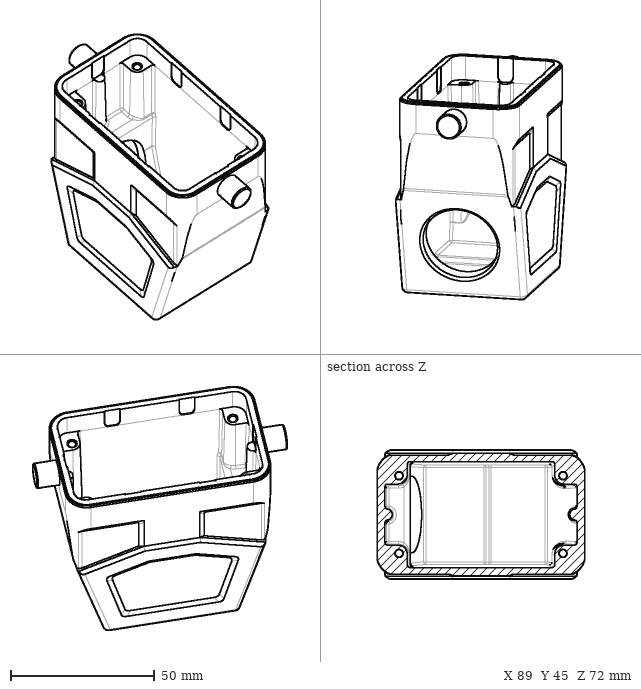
import cadquery as cq
import math

LENGTH = 89.0
WIDTH = 45.0
HEIGHT = 72.0

COLLAR_LENGTH = 72.9
COLLAR_WIDTH = 42.9
COLLAR_CORNER = 7.6
COLLAR_BASE = 26.7
RIM_BEVEL = 0.45
RIM_LIP_HEIGHT = 0.4
RIM_LIP_INSET = 0.7
RIM_WALL = 2.9
MOUTH_CORNER = 4.1
POST_TOP = 63.4

TAPER_TOP = 60.9
BEND_HEIGHT = 40.05
BEND_HALF = 34.6
END_ANGLE = 15.0
END_SLOPE = math.tan(math.radians(END_ANGLE))
BASE_HALF = BEND_HALF - BEND_HEIGHT * END_SLOPE
BEND_ROUNDING = 4.45

RIDGE_HEIGHT = 44.5
RIDGE_HALF = 10.1
RIDGE_ANGLE = 20.0
RIDGE_SLOPE = math.tan(math.radians(RIDGE_ANGLE))
RIDGE_DROP = 1.4
HOOD_ROUNDING = 2.05

RECESS_DEPTH = 0.9
RECESS_ANGLE = 64.0
RECESS_EDGE_ROUNDING = 2.2
COLLAR_RECESS_TOP = 59.1
COLLAR_RECESS_START = 9.8
COLLAR_RECESS_CORNER = 1.8
PANEL_TOP = 37.0
PANEL_BOTTOM = 7.7
PANEL_TOP_HALF = 8.4
PANEL_BOTTOM_HALF = 17.9
PANEL_SIDE_HALF = 23.8
PANEL_SIDE_HEIGHT = 31.4
PANEL_CORNER = 4.45

PIN_DIAMETER = 8.8
PIN_HEIGHT = 65.95
PIN_CHAMFER = 0.45

ENTRY_DIAMETER = 26.8
ENTRY_CHAMFER = 1.0
ENTRY_HEIGHT = 19.9
ENTRY_LENGTH = 13.35

DRAFT = 1.2
LEFT_FLOOR = 5.3
RIGHT_FLOOR = 7.6
STEP_START = 1.4
STEP_END = 3.0
LEDGE_HEIGHT = BEND_HEIGHT
LEDGE_HALF = 24.65
LEDGE_ROUNDING = 2.2
ENTRY_WALL = 5.4
FAR_WALL = 3.0
CAVITY_ROUNDING = 0.9

POST_INNER_X = 25.7
POST_INNER_Y = 10.7
POST_ROUNDING = 3.1
SCREW_X = 28.6
SCREW_Y = 13.5
SCREW_DIAMETER = 2.7
SCREW_MOUTH = 3.5
SCREW_DEPTH = 10.7
RIB_RADIUS = 1.9
RIB_X = 32.8
RIB_FILLET = 0.9
RIB_REACH = 3.6
SLOT_WIDTH = 5.5
SLOT_DEPTH = 0.3
SLOT_BOTTOM = 62.8
SLOT_X = 13.3

MOUTH_LENGTH = COLLAR_LENGTH - 2 * RIM_WALL
MOUTH_WIDTH = COLLAR_WIDTH - 2 * RIM_WALL


def mirrored(points):
    """Close a right-hand outline with its mirror image across X = 0."""
    return points + [(-x, z) for x, z in reversed(points)]


def end_face(z):
    """Half length of the part at height z below the bend."""
    return BASE_HALF + z * END_SLOPE


def extrude_across(points, width):
    """Extrude an XZ outline symmetrically about Y = 0."""
    return cq.Workplane("XZ").polyline(points).close().extrude(width / 2, both=True)


def all_corners(x, y):
    """The point (x, y) and its mirror images."""
    return [(x, y), (-x, y), (x, -y), (-x, -y)]


def column(x, y):
    """Select what has its centre in a narrow column around (x, y)."""
    return cq.selectors.BoxSelector((x - 0.9, y - 0.9, -HEIGHT), (x + 0.9, y + 0.9, HEIGHT))


def zone(low, high):
    """Select what has its centre inside a height range."""
    return cq.selectors.BoxSelector((-LENGTH, -LENGTH, low), (LENGTH, LENGTH, high))


def make_rounded_block(inset, bottom, top):
    """Collar outline shrunk by inset and filled from bottom to top."""
    block = cq.Workplane("XY", origin=(0, 0, bottom))
    block = block.rect(COLLAR_LENGTH - 2 * inset, COLLAR_WIDTH - 2 * inset).extrude(top - bottom)
    return block.edges("|Z").fillet(COLLAR_CORNER - inset)


def make_collar():
    """Rounded collar with a lipped rim, tapered ends and a recess in each quarter."""
    collar = (
        make_rounded_block(0, COLLAR_BASE, HEIGHT - RIM_LIP_HEIGHT)
        .faces(">Z")
        .edges()
        .chamfer(RIM_BEVEL)
        .union(make_rounded_block(RIM_LIP_INSET, COLLAR_BASE, HEIGHT))
    )
    half = COLLAR_LENGTH / 2
    envelope = extrude_across(
        mirrored([(BASE_HALF, 0), (BEND_HALF, BEND_HEIGHT), (half, TAPER_TOP), (half, HEIGHT)]),
        WIDTH,
    )
    bend = zone(BEND_HEIGHT - 0.9, BEND_HEIGHT + 0.9)
    envelope = envelope.edges("|Y").edges(bend).fillet(BEND_ROUNDING)
    collar = collar.intersect(envelope)
    collar = cut_on_all_sides(collar, make_collar_recess())
    corner_y = COLLAR_WIDTH / 2 - RECESS_DEPTH
    corner_x = half - COLLAR_CORNER
    corner_x += math.sqrt(COLLAR_CORNER**2 - (COLLAR_CORNER - RECESS_DEPTH) ** 2)
    for x, y in all_corners(corner_x, corner_y):
        collar = collar.edges("|Z").edges(column(x, y)).fillet(RECESS_EDGE_ROUNDING)
    return collar


def make_collar_recess():
    """Right-hand front recess with sloped walls, open towards the end face."""
    recess = (
        cq.Workplane("XZ", origin=(0, -COLLAR_WIDTH / 2, 0))
        .moveTo(COLLAR_RECESS_START, 0)
        .lineTo(LENGTH, 0)
        .lineTo(LENGTH, COLLAR_RECESS_TOP)
        .lineTo(COLLAR_RECESS_START, COLLAR_RECESS_TOP)
        .close()
        .extrude(-RECESS_DEPTH, taper=RECESS_ANGLE)
    )
    inner_corner = column(COLLAR_RECESS_START + 0.9, -COLLAR_WIDTH / 2)
    return recess.edges("not #Y").edges(inner_corner).edges(">Z").fillet(COLLAR_RECESS_CORNER)


def cut_on_all_sides(body, tool):
    """Cut a right-hand front tool and its mirror images across X = 0 and Y = 0."""
    front = tool.val()
    back = front.mirror("XZ")
    for piece in (front, back, front.mirror("YZ"), back.mirror("YZ")):
        body = body.cut(cq.Workplane(piece))
    return body


def make_hood():
    """Five-sided lower hood, rounded at the base and steep corners and bevelled at the ridge."""
    shoulder_z = RIDGE_HEIGHT - RIDGE_SLOPE * (BASE_HALF - RIDGE_HALF)
    shoulder_z /= 1 + RIDGE_SLOPE * END_SLOPE
    hood = extrude_across(
        mirrored([(BASE_HALF, 0), (end_face(shoulder_z), shoulder_z), (RIDGE_HALF, RIDGE_HEIGHT)]),
        WIDTH,
    )
    hood = hood.edges(zone(-0.9, shoulder_z - 0.9)).fillet(HOOD_ROUNDING)
    return hood.intersect(make_ridge_bevel())


def make_ridge_bevel():
    """Envelope whose roof slopes from the collar faces down to the hood faces."""
    step = (WIDTH - COLLAR_WIDTH) / 2
    angle = math.degrees(math.atan(RIDGE_DROP / step))
    outer = LENGTH / 2
    outer_z = RIDGE_HEIGHT - RIDGE_SLOPE * (outer - RIDGE_HALF)
    outline = mirrored([(outer, -outer), (outer, outer_z), (RIDGE_HALF, RIDGE_HEIGHT)])
    core = extrude_across(outline, COLLAR_WIDTH)
    front = (
        cq.Workplane("XZ", origin=(0, -COLLAR_WIDTH / 2, 0))
        .polyline(outline)
        .close()
        .extrude(step, taper=angle)
    )
    return core.union(front).union(front.mirror("XZ"))


def cut_panels(body):
    """Sunken panel with sloped walls on both long sides of the hood."""
    right_half = [
        (PANEL_BOTTOM_HALF, PANEL_BOTTOM),
        (PANEL_SIDE_HALF, PANEL_SIDE_HEIGHT),
        (PANEL_TOP_HALF, PANEL_TOP),
    ]
    tool = (
        cq.Workplane("XZ", origin=(0, -WIDTH / 2, 0))
        .polyline(mirrored(right_half))
        .close()
        .extrude(-RECESS_DEPTH, taper=RECESS_ANGLE)
    )
    tool = tool.edges("not #Y").fillet(PANEL_CORNER)
    return body.cut(tool).cut(tool.mirror("XZ"))


def make_pins():
    """Round locking pin standing out of each end face."""
    pin = cq.Workplane("YZ").center(0, PIN_HEIGHT).circle(PIN_DIAMETER / 2)
    pin = pin.extrude(LENGTH / 2, both=True)
    pin = pin.faces("<X or >X").chamfer(PIN_CHAMFER)
    gap = cq.Workplane("XY").box(COLLAR_LENGTH - RIM_WALL, LENGTH, 4 * HEIGHT)
    return pin.cut(gap)


def make_shaft():
    """Drafted shaft leaving a post in each corner."""
    outline = cq.Sketch().rect(2 * POST_INNER_X, MOUTH_WIDTH)
    outline = outline.rect(MOUTH_LENGTH, 2 * POST_INNER_Y).clean()
    for x, y in all_corners(POST_INNER_X, POST_INNER_Y):
        outline = outline.reset().vertices(column(x, y)).fillet(POST_ROUNDING)
    shaft = cq.Workplane("XY", origin=(0, 0, POST_TOP)).placeSketch(outline.reset())
    return shaft.extrude(-POST_TOP, taper=DRAFT)


def make_cavity():
    """Shaft limited to the lengthwise profile, rounded inside and cut back around the end ribs."""
    ledge_x = -LEDGE_HALF
    profile = [
        (ENTRY_WALL - end_face(LEFT_FLOOR), LEFT_FLOOR),
        (STEP_START, LEFT_FLOOR),
        (STEP_END, RIGHT_FLOOR),
        (end_face(RIGHT_FLOOR) - FAR_WALL, RIGHT_FLOOR),
        (end_face(HEIGHT) - FAR_WALL, HEIGHT),
        (-LENGTH / 2, HEIGHT),
        (-LENGTH / 2, LEDGE_HEIGHT),
        (ledge_x, LEDGE_HEIGHT),
        (ledge_x, (ENTRY_WALL + LEDGE_HALF - BASE_HALF) / END_SLOPE),
    ]
    limit = extrude_across(profile, WIDTH)
    ledge = cq.selectors.BoxSelector(
        (ledge_x - 0.9, -0.9, LEDGE_HEIGHT - 0.9), (ledge_x + 0.9, 0.9, LEDGE_HEIGHT + 0.9)
    )
    limit = limit.edges(ledge).fillet(LEDGE_ROUNDING)
    cavity = make_shaft().intersect(limit)
    cavity = cavity.edges(zone(0, POST_TOP - 0.1)).fillet(CAVITY_ROUNDING)
    draft_growth = POST_TOP * math.tan(math.radians(DRAFT))
    for x in (-RIB_X, RIB_X):
        rib = cq.Solid.makeCone(
            RIB_RADIUS,
            RIB_RADIUS + draft_growth,
            POST_TOP,
            cq.Vector(x, 0, POST_TOP),
            cq.Vector(0, 0, -1),
        )
        cavity = cavity.cut(cq.Workplane(rib))
        foot = cq.selectors.BoxSelector(
            (x - RIB_REACH, -RIB_REACH, 0), (x + RIB_REACH, RIB_REACH, POST_TOP - 0.9)
        )
        cavity = cavity.edges(foot).fillet(RIB_FILLET)
    return cavity


def make_mouth():
    """Rounded opening above the posts with shallow slots in its four walls."""
    mouth = cq.Workplane("XY", origin=(0, 0, POST_TOP)).rect(MOUTH_LENGTH, MOUTH_WIDTH)
    mouth = mouth.extrude(HEIGHT - POST_TOP).edges("|Z").fillet(MOUTH_CORNER)
    slot_z = SLOT_BOTTOM + HEIGHT / 2
    slot = cq.Workplane("XZ").slot2D(HEIGHT, SLOT_WIDTH, 90)
    slot = slot.extrude(MOUTH_WIDTH / 2 + SLOT_DEPTH, both=True)
    end_slot = cq.Workplane("YZ").slot2D(HEIGHT, SLOT_WIDTH, 90)
    end_slot = end_slot.extrude(MOUTH_LENGTH / 2 + SLOT_DEPTH, both=True)
    slots = end_slot.translate((0, 0, slot_z))
    for x in (-SLOT_X, SLOT_X):
        slots = slots.union(slot.translate((x, 0, slot_z)))
    above = cq.Workplane("XY", origin=(0, 0, POST_TOP)).rect(LENGTH, LENGTH).extrude(HEIGHT)
    return mouth.union(slots.intersect(above))


def cut_screw_holes(body):
    """Blind screw hole with a countersunk mouth in the top of each post."""
    for x, y in all_corners(SCREW_X, SCREW_Y):
        hole = cq.Workplane("XY", origin=(x, y, POST_TOP)).circle(SCREW_DIAMETER / 2)
        hole = hole.extrude(-SCREW_DEPTH)
        rim = cq.Solid.makeCone(
            SCREW_MOUTH / 2,
            SCREW_DIAMETER / 2,
            (SCREW_MOUTH - SCREW_DIAMETER) / 2,
            cq.Vector(x, y, POST_TOP),
            cq.Vector(0, 0, -1),
        )
        body = body.cut(hole).cut(cq.Workplane(rim))
    return body


def make_entry():
    """Round cable hole square to the -X end face, bevelled on the outside."""
    angle = math.radians(END_ANGLE)
    inward = cq.Vector(math.cos(angle), 0, math.sin(angle))
    start = cq.Vector(-end_face(ENTRY_HEIGHT), 0, ENTRY_HEIGHT)
    radius = ENTRY_DIAMETER / 2
    hole = cq.Solid.makeCylinder(radius, ENTRY_LENGTH, start, inward)
    bevel = cq.Solid.makeCone(radius + ENTRY_CHAMFER, radius, ENTRY_CHAMFER, start, inward)
    return cq.Workplane(hole).union(cq.Workplane(bevel))


result = make_collar().union(make_hood())
result = cut_panels(result).union(make_pins())
result = result.cut(make_cavity()).cut(make_mouth())
result = cut_screw_holes(result).cut(make_entry())